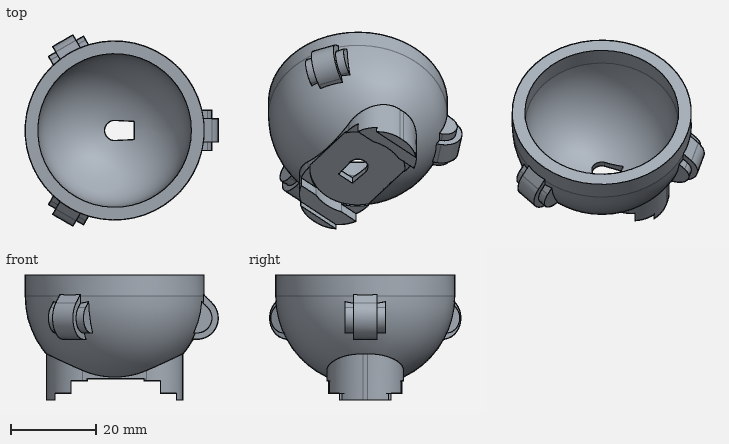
import cadquery as cq
import math

OUTER_RADIUS = 21.0
INNER_RADIUS = 18.0
RIM_HEIGHT = 5.0

BASE_LENGTH = 32.0
BASE_WIDTH = 18.0
BASE_CORNER_RADIUS = 8.5
BASE_TOP_Z = -12.0
BASE_BOTTOM_Z = -24.4
RECESS_CENTRE_X = 0.25
ROUND_RECESS_RADIUS = 11.15
ROUND_RECESS_CEILING_Z = -19.4
LEG_CHANNELS = [
    (28.4, -22.8),
    (20.9, -19.9),
]

KEYHOLE_RADIUS = 2.33
KEYHOLE_END_X = 4.55
KEYHOLE_END_HALF_WIDTH = 2.1

LUG_COUNT = 3
LUG_TIP_X = 24.31
LUG_RADIUS = 5.0
LUG_WIDTH = 5.5
SHOULDER_RADIUS = 3.5
SHOULDER_WIDTH = 9.5
LUG_AXIS_X = LUG_TIP_X - LUG_RADIUS
LUG_AXIS_Z = -5.15
LUG_ROOT_X = 19.0
LUG_FOOT_X = 16.5


def bowl_body():
    """Solid hemisphere topped by a straight rim."""
    profile = (
        cq.Workplane("XZ")
        .moveTo(0, -OUTER_RADIUS)
        .radiusArc((OUTER_RADIUS, 0), -OUTER_RADIUS)
        .lineTo(OUTER_RADIUS, RIM_HEIGHT)
        .lineTo(0, RIM_HEIGHT)
        .close()
    )
    return profile.revolve(360, (0, 0, 0), (0, 1, 0))


def bowl_cavity():
    """Space inside the bowl."""
    sphere = cq.Workplane("XY").sphere(INNER_RADIUS)
    mouth = cq.Workplane("XY").circle(INNER_RADIUS).extrude(RIM_HEIGHT)
    return sphere.union(mouth)


def base_block():
    """Rounded rectangular block that carries the legs."""
    return (
        cq.Workplane("XY", origin=(0, 0, BASE_BOTTOM_Z))
        .rect(BASE_LENGTH, BASE_WIDTH)
        .extrude(BASE_TOP_Z - BASE_BOTTOM_Z)
        .edges("|Z")
        .fillet(BASE_CORNER_RADIUS)
    )


def round_recess():
    """Shallow round recess above the channels, in the underside of the base."""
    return (
        cq.Workplane("XY", origin=(RECESS_CENTRE_X, 0, BASE_BOTTOM_Z))
        .circle(ROUND_RECESS_RADIUS)
        .extrude(ROUND_RECESS_CEILING_Z - BASE_BOTTOM_Z)
    )


def leg_channel(length, ceiling_z):
    """Straight channel across the full width of the base, up to a ceiling."""
    return (
        cq.Workplane("XY", origin=(RECESS_CENTRE_X, 0, BASE_BOTTOM_Z))
        .rect(length, BASE_WIDTH)
        .extrude(ceiling_z - BASE_BOTTOM_Z)
    )


def keyhole():
    """Slot with one round end and slightly converging sides."""
    return (
        cq.Workplane("XY", origin=(0, 0, BASE_BOTTOM_Z))
        .moveTo(0, KEYHOLE_RADIUS)
        .threePointArc((-KEYHOLE_RADIUS, 0), (0, -KEYHOLE_RADIUS))
        .lineTo(KEYHOLE_END_X, -KEYHOLE_END_HALF_WIDTH)
        .lineTo(KEYHOLE_END_X, KEYHOLE_END_HALF_WIDTH)
        .close()
        .extrude(-BASE_BOTTOM_Z)
    )


def lug_plate(radius, width):
    """Round-nosed plate whose upper side runs at 45 degrees into the bowl."""
    diagonal = radius * math.sqrt(0.5)
    nose_top_x = LUG_AXIS_X + diagonal
    nose_top_z = LUG_AXIS_Z + diagonal
    root_top_z = nose_top_z + nose_top_x - LUG_ROOT_X
    return (
        cq.Workplane("XZ")
        .moveTo(LUG_FOOT_X, LUG_AXIS_Z - radius)
        .lineTo(LUG_AXIS_X, LUG_AXIS_Z - radius)
        .threePointArc((LUG_AXIS_X + radius, LUG_AXIS_Z), (nose_top_x, nose_top_z))
        .lineTo(LUG_ROOT_X, root_top_z)
        .close()
        .extrude(width / 2, both=True)
    )


def lug():
    """Centre disc and its wider shoulder, on the +X side."""
    return lug_plate(LUG_RADIUS, LUG_WIDTH).union(lug_plate(SHOULDER_RADIUS, SHOULDER_WIDTH))


result = bowl_body().union(base_block()).cut(round_recess())
for channel_length, channel_ceiling in LEG_CHANNELS:
    result = result.cut(leg_channel(channel_length, channel_ceiling))
for index in range(LUG_COUNT):
    result = result.union(lug().rotate((0, 0, 0), (0, 0, 1), index * 360 / LUG_COUNT))
result = result.cut(bowl_cavity()).cut(keyhole())